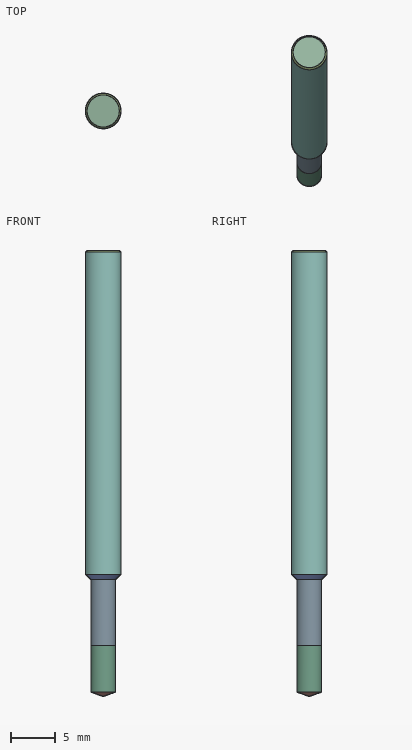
import cadquery as cq
import math

total_length = 50.0
shank_diameter = 4.0
drill_diameter = 2.8

cutting_top = 5.7
neck_top = 13.1

shank_chamfer = 0.2
point_angle = 140.0
shoulder_angle = 90.0

shank_radius = shank_diameter / 2
drill_radius = drill_diameter / 2


def cone_height(radial_step, included_angle):
    """Axial length of a cone that changes radius by radial_step."""
    return radial_step / math.tan(math.radians(included_angle / 2))


def make_cutting_end():
    """Cylindrical cutting end with a conical point."""
    point_height = cone_height(drill_radius, point_angle)
    profile = [
        (0, 0),
        (drill_radius, point_height),
        (drill_radius, cutting_top),
        (0, cutting_top),
    ]
    return cq.Workplane("XZ").polyline(profile).close().revolve(360, (0, 0), (0, 1))


def make_neck():
    """Plain cylinder between the cutting end and the shank."""
    return (
        cq.Workplane("XY")
        .workplane(offset=cutting_top)
        .circle(drill_radius)
        .extrude(neck_top - cutting_top)
    )


def make_shank():
    """Shank with a conical shoulder below and a chamfered top end."""
    shoulder_top = neck_top + cone_height(shank_radius - drill_radius, shoulder_angle)
    profile = [
        (0, neck_top),
        (drill_radius, neck_top),
        (shank_radius, shoulder_top),
        (shank_radius, total_length),
        (0, total_length),
    ]
    shank = cq.Workplane("XZ").polyline(profile).close().revolve(360, (0, 0), (0, 1))
    return shank.faces(">Z").edges().chamfer(shank_chamfer)


cutting_end = make_cutting_end()
neck = make_neck()
shank = make_shank()

result = cq.Compound.makeCompound([cutting_end.val(), neck.val(), shank.val()])